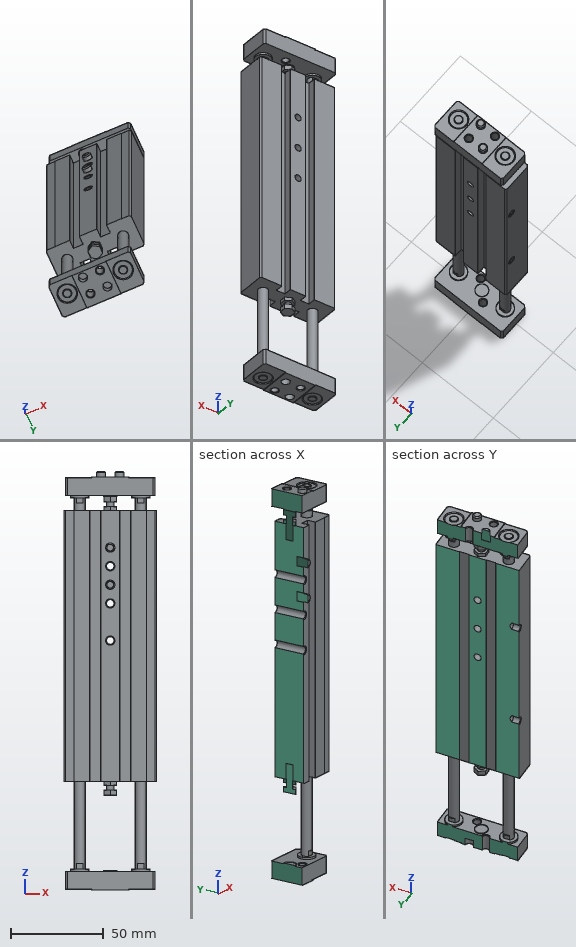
import cadquery as cq
import math


HOUSING_WIDTH = 50.0
HOUSING_DEPTH = 19.0
HOUSING_HEIGHT = 145.8
HOUSING_CHAMFER = 1.0
STEP_START = 19.5
STEP_DEPTH = 0.11
SLOT_INNER = 5.2
SLOT_OUTER = 10.8
SLOT_CHAMFER = 0.2
SLOT_DEPTH = 5.0
HOLE_ROW_SPAN = 50.0
HOLE_ROW_DROP = 20.0
PIN_STEPS = (0, 2)
TAPPED_STEPS = (1, 3, 5)
HOLE_PITCH = HOLE_ROW_SPAN / TAPPED_STEPS[-1]
PORT_OFFSET = 4.7
PORT_DEPTH = 4.5
PORT_TIP = 1.1
PORT_HEIGHTS = (40.3, 105.0)

TAP_DIAMETER = 4.0
TAP_MOUTH = 5.0

ROD_DIAMETER = 6.0
ROD_OFFSET = 16.5
COLLAR_DIAMETER = 10.0
COLLAR_HEIGHT = 1.1
FLAT_WIDTH = 5.0
FLAT_HEIGHT = 3.0
ROD_END_DIAMETER = 5.0
ROD_END_CHAMFER = 0.34

PLATE_WIDTH = 48.2
PLATE_DEPTH = 20.0
PLATE_BACK = 11.7
PLATE_THICKNESS = 9.7
PLATE_CHAMFER = 1.1
PAD_WIDTH = 20.0
PAD_HEIGHT = 0.5
HOLE_OFFSET = HOLE_PITCH / 2
RECESS_MOUTH = 11.0
RECESS_FLOOR = 10.0
RECESS_DEPTH = 0.5
BUMPER_DIAMETER = 7.5
BUMPER_HEIGHT = 0.5
UPPER_GAP = 7.9
LOWER_GAP = 48.2

PIN_DIAMETER = 5.0
PIN_CHAMFER = 0.7
PIN_EMBED = 4.5
PIN_PROTRUSION = 3.0

BOLT_DIAMETER = 4.0
HEX_FLATS = 7.0
NUT_HEIGHT = 2.0
BOLT_EMBED = 9.0
BOLT_HEAD_HEIGHT = 3.0
BOLT_REACH = UPPER_GAP - BUMPER_HEIGHT

HEX_HALF_ANGLE = 30
HEX_CORNERS = HEX_FLATS / math.cos(math.radians(HEX_HALF_ANGLE))
FRONT = -HOUSING_DEPTH / 2
PIN_LENGTH = PIN_EMBED + PIN_PROTRUSION
PLATE_CENTRE = PLATE_BACK - PLATE_DEPTH / 2
UPPER_PLATE_Z = HOUSING_HEIGHT + UPPER_GAP
LOWER_PLATE_Z = -LOWER_GAP
PAD_FACE = PLATE_THICKNESS + PAD_HEIGHT
SIDES = (-1, 1)


def cylinder(diameter, start, direction, length):
    """A round bar from start along direction."""
    return cq.Workplane(cq.Solid.makeCylinder(diameter / 2, length, cq.Vector(*start), cq.Vector(*direction)))


def cone(first_diameter, last_diameter, start, direction, length):
    """A round bar whose diameter changes evenly from start along direction."""
    return cq.Workplane(
        cq.Solid.makeCone(
            first_diameter / 2, last_diameter / 2, length, cq.Vector(*start), cq.Vector(*direction)
        )
    )


def tapped_hole(start, direction, depth):
    """Cutter for a tapped hole with a countersunk mouth at start."""
    mouth_depth = (TAP_MOUTH - TAP_DIAMETER) / 2
    drill = cylinder(TAP_DIAMETER, start, direction, depth)
    return drill.union(cone(TAP_MOUTH, TAP_DIAMETER, start, direction, mouth_depth))


def row_height(step):
    """Height of a position in the row of holes on the front of the housing."""
    return HOUSING_HEIGHT - HOLE_ROW_DROP - step * HOLE_PITCH


def block(x_range, y_range, height):
    """An upright box standing on Z = 0."""
    return (
        cq.Workplane()
        .box(x_range[1] - x_range[0], y_range[1] - y_range[0], height, centered=False)
        .translate((x_range[0], y_range[0], 0))
    )


def slot_cutter():
    """Cutter for the front right slot, its mouth widened by a chamfer on each side."""
    floor = FRONT + SLOT_DEPTH
    chamfer_end = FRONT + SLOT_CHAMFER
    return (
        cq.Workplane()
        .polyline(
            [
                (SLOT_INNER, floor),
                (SLOT_INNER, chamfer_end),
                (SLOT_INNER - SLOT_CHAMFER, FRONT),
                (SLOT_OUTER + SLOT_CHAMFER, FRONT),
                (SLOT_OUTER, chamfer_end),
                (SLOT_OUTER, floor),
            ]
        )
        .close()
        .extrude(HOUSING_HEIGHT)
    )


def make_housing():
    """Extruded cylinder body with slots, rod bores, bolt bores, tapped holes, pin holes and ports."""
    half_width = HOUSING_WIDTH / 2
    body = block((-half_width, half_width), (FRONT, -FRONT), HOUSING_HEIGHT)

    for x_range in ((-half_width, -STEP_START), (STEP_START, half_width)):
        body = body.cut(block(x_range, (FRONT, FRONT + STEP_DEPTH), HOUSING_HEIGHT))
    body = body.edges("|Z and (<X or >X)").chamfer(HOUSING_CHAMFER)

    front_slot = slot_cutter()
    back_slot = front_slot.mirror("XZ")
    for cutter in (front_slot, back_slot, front_slot.mirror("YZ"), back_slot.mirror("YZ")):
        body = body.cut(cutter)

    for side in SIDES:
        body = body.cut(cylinder(ROD_DIAMETER, (side * ROD_OFFSET, 0, 0), (0, 0, 1), HOUSING_HEIGHT))

    body = body.cut(cylinder(BOLT_DIAMETER, (0, 0, 0), (0, 0, 1), BOLT_EMBED))
    body = body.cut(cylinder(BOLT_DIAMETER, (0, 0, HOUSING_HEIGHT), (0, 0, -1), BOLT_EMBED))

    for step in TAPPED_STEPS:
        body = body.cut(tapped_hole((0, FRONT, row_height(step)), (0, 1, 0), HOUSING_DEPTH))
    for step in PIN_STEPS:
        body = body.cut(cylinder(PIN_DIAMETER, (0, FRONT, row_height(step)), (0, 1, 0), PIN_EMBED))

    for height in PORT_HEIGHTS:
        body = body.cut(tapped_hole((-half_width, PORT_OFFSET, height), (1, 0, 0), PORT_DEPTH))
        tip_start = (-half_width + PORT_DEPTH, PORT_OFFSET, height)
        body = body.cut(cone(TAP_DIAMETER, 0, tip_start, (1, 0, 0), PORT_TIP))
    return body


def make_plate():
    """Yoke plate with its inner face on Z = 0 and its outer face, with the pad, upward."""
    plate = (
        cq.Workplane()
        .box(PLATE_WIDTH, PLATE_DEPTH, PLATE_THICKNESS, centered=(True, True, False))
        .edges("|Z")
        .chamfer(PLATE_CHAMFER)
    )
    pad = cq.Workplane().box(PAD_WIDTH, PLATE_DEPTH, PAD_FACE, centered=(True, True, False))
    plate = plate.union(pad).translate((0, PLATE_CENTRE, 0))

    plate = plate.union(cylinder(BUMPER_DIAMETER, (0, 0, -BUMPER_HEIGHT), (0, 0, 1), PLATE_THICKNESS))

    for side in SIDES:
        spot = side * HOLE_OFFSET
        plate = plate.cut(tapped_hole((spot, spot, PAD_FACE), (0, 0, -1), PAD_FACE))
        plate = plate.cut(tapped_hole((spot, spot, 0), (0, 0, 1), PAD_FACE))
        plate = plate.cut(cylinder(PIN_DIAMETER, (-spot, spot, PAD_FACE), (0, 0, -1), PIN_EMBED))

    for side in SIDES:
        x = side * ROD_OFFSET
        recess = cone(RECESS_MOUTH, RECESS_FLOOR, (x, 0, PLATE_THICKNESS), (0, 0, -1), RECESS_DEPTH)
        rod_end = cylinder(
            ROD_END_DIAMETER, (x, 0, PLATE_THICKNESS - RECESS_DEPTH), (0, 0, 1), RECESS_DEPTH
        )
        plate = plate.cut(recess).union(rod_end.faces(">Z").chamfer(ROD_END_CHAMFER))
    return plate


def make_rod():
    """Rod between the plates, with a collar and two spanner flats at each end."""
    length = UPPER_PLATE_Z - LOWER_PLATE_Z
    rod = cylinder(ROD_DIAMETER, (0, 0, LOWER_PLATE_Z), (0, 0, 1), length)
    flats_length = COLLAR_HEIGHT + FLAT_HEIGHT
    for plate_z, inward in ((LOWER_PLATE_Z, 1), (UPPER_PLATE_Z, -1)):
        for side in SIDES:
            cutter = cq.Workplane().box(ROD_DIAMETER, ROD_DIAMETER, flats_length)
            y = side * (FLAT_WIDTH + ROD_DIAMETER) / 2
            rod = rod.cut(cutter.translate((0, y, plate_z + inward * flats_length / 2)))
        rod = rod.union(cylinder(COLLAR_DIAMETER, (0, 0, plate_z), (0, 0, inward), COLLAR_HEIGHT))
    return rod


def make_moving_frame():
    """Both yoke plates and both rods as one rigid piece."""
    plate = make_plate()
    upper = plate.translate((0, 0, UPPER_PLATE_Z))
    lower = plate.rotate((0, 0, 0), (0, 1, 0), 180).translate((0, 0, LOWER_PLATE_Z))
    rod = make_rod()
    frame = upper.union(lower)
    for side in SIDES:
        frame = frame.union(rod.translate((side * ROD_OFFSET, 0, 0)))
    return frame


def make_pin():
    """Dowel pin standing on Z = 0 with its chamfered tip upward."""
    return cylinder(PIN_DIAMETER, (0, 0, 0), (0, 0, 1), PIN_LENGTH).faces(">Z").chamfer(PIN_CHAMFER)


def hexagon(height):
    """Hexagonal prism on Z = 0 with corners toward -Y and +Y."""
    return cq.Workplane().polygon(6, HEX_CORNERS).extrude(height).rotate((0, 0, 0), (0, 0, 1), HEX_HALF_ANGLE)


def make_stop_bolt():
    """Hexagon bolt pointing up out of a housing face on Z = 0."""
    shank = cylinder(BOLT_DIAMETER, (0, 0, -BOLT_EMBED), (0, 0, 1), BOLT_EMBED + BOLT_REACH)
    head = hexagon(BOLT_HEAD_HEIGHT).translate((0, 0, BOLT_REACH - BOLT_HEAD_HEIGHT))
    return shank.union(head)


def make_lock_nut():
    """Hexagon nut lying on a housing face on Z = 0."""
    return hexagon(NUT_HEIGHT).cut(cylinder(BOLT_DIAMETER, (0, 0, 0), (0, 0, 1), NUT_HEIGHT))


def at_both_ends(part):
    """Copies of a part on the upper and, turned over, on the lower end face of the housing."""
    return [
        part.translate((0, 0, HOUSING_HEIGHT)),
        part.rotate((0, 0, 0), (0, 1, 0), 180),
    ]


housing = make_housing()
moving_frame = make_moving_frame()
stop_bolts = at_both_ends(make_stop_bolt())
lock_nuts = at_both_ends(make_lock_nut())

pins = []
for side in SIDES:
    spot = side * HOLE_OFFSET
    seat_z = UPPER_PLATE_Z + PAD_FACE - PIN_EMBED
    pins.append(make_pin().translate((-spot, spot, seat_z)))
for step in PIN_STEPS:
    forward_pin = make_pin().rotate((0, 0, 0), (1, 0, 0), 90)
    pins.append(forward_pin.translate((0, FRONT + PIN_EMBED, row_height(step))))

bodies = [housing, moving_frame, *stop_bolts, *lock_nuts, *pins]
result = cq.Compound.makeCompound([body.val() for body in bodies])